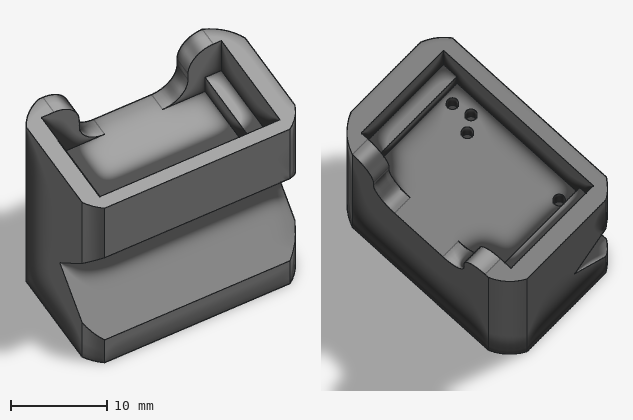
import cadquery as cq

width = 16.36
length = 25.77
height = 24.6
right = width / 2
left = -right
back = length / 2
front = -back

corner_radius = 5.77
back_left_reach = (3.25, 3.3)
back_right_reach = (2.6, 2.05)
front_left_reach = (2.65, 3.02)
front_right_reach = (1.83, 1.65)

floor_depth = 6.95
floor_z = height - floor_depth
left_wall = 2.35
right_wall = 1.62
back_wall = 2.35
front_wall = 2.0
ledge_width = 1.93
ledge_height = 2.22

opening_width = 12.94
opening_center_y = 0.1
opening_radius = 3.02

hole_diameter = 1.3
hole_depth = 2.58
hole_centers = [(4.6, 7.42), (5.05, 5.18), (3.38, 4.12), (4.6, -7.83)]

groove_depth = 6.55
groove_z = 10.18


def make_block():
    """Upright block with four arc-shaped corners."""
    return (
        cq.Workplane("XY")
        .moveTo(left + back_left_reach[0], back)
        .lineTo(right - back_right_reach[0], back)
        .radiusArc((right, back - back_right_reach[1]), corner_radius)
        .lineTo(right, front + front_right_reach[1])
        .radiusArc((right - front_right_reach[0], front), corner_radius)
        .lineTo(left + front_left_reach[0], front)
        .radiusArc((left, front + front_left_reach[1]), corner_radius)
        .lineTo(left, back - back_left_reach[1])
        .radiusArc((left + back_left_reach[0], back), corner_radius)
        .close()
        .extrude(height)
    )


def make_tray():
    """Tray cavity, narrower below the two ledges along its short ends."""
    x_min = left + left_wall
    x_size = right - right_wall - x_min
    y_min = front + front_wall
    y_size = back - back_wall - y_min
    ledge_z = floor_z + ledge_height
    upper = cq.Workplane("XY").box(x_size, y_size, height - ledge_z, centered=False)
    lower = cq.Workplane("XY").box(x_size, y_size - 2 * ledge_width, ledge_height, centered=False)
    return upper.translate((x_min, y_min, ledge_z)).union(
        lower.translate((x_min, y_min + ledge_width, floor_z))
    )


def make_opening():
    """Wall opening with rounded bottom corners and a flared, rounded top edge."""
    half = opening_width / 2
    radius = opening_radius
    profile = (
        cq.Workplane("YZ", origin=(left, opening_center_y, 0))
        .moveTo(-half - radius, height)
        .radiusArc((-half, height - radius), radius)
        .lineTo(-half, floor_z + radius)
        .radiusArc((-half + radius, floor_z), -radius)
        .lineTo(half - radius, floor_z)
        .radiusArc((half, floor_z + radius), -radius)
        .lineTo(half, height - radius)
        .radiusArc((half + radius, height), radius)
        .close()
    )
    return profile.extrude(left_wall)


def make_floor_holes():
    """Blind round holes going down from the tray floor."""
    return (
        cq.Workplane("XY", origin=(0, 0, floor_z))
        .pushPoints(hole_centers)
        .circle(hole_diameter / 2)
        .extrude(-hole_depth)
    )


def make_groove():
    """Full-length triangular groove, as tall at its mouth as twice its depth."""
    return (
        cq.Workplane("XZ")
        .moveTo(right - groove_depth, groove_z)
        .lineTo(right, groove_z + groove_depth)
        .lineTo(right, groove_z - groove_depth)
        .close()
        .extrude(length / 2, both=True)
    )


result = (
    make_block()
    .cut(make_tray())
    .cut(make_opening())
    .cut(make_floor_holes())
    .cut(make_groove())
)